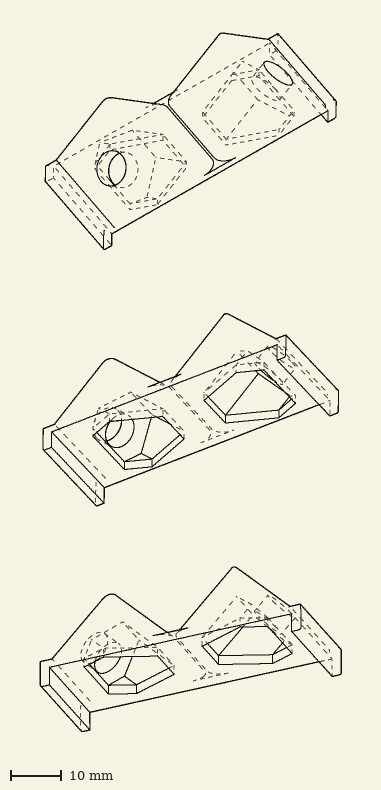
import cadquery as cq
import math

length = 56.3
width = 20.0
plate_thickness = 2.0
leg_height = 4.0
leg_thickness = 2.0
plate_top = leg_height + plate_thickness

ledge = 2.45
valley_half_width = 0.25
outer_foot = length / 2 - ledge
ridge_y = (outer_foot + valley_half_width) / 2
ridge_z = plate_top + outer_foot - ridge_y

corner_radius = 2.5
edge_radius = 0.5

hole_diameter = 7.0
hole_x = 1.25
hole_y = 20.2
hole_wall = 4.15
nut_across_flats = 14.0
nut_pocket_depth = 30.0

lean_angle = 1.0


def make_body():
    """Extrude the side outline, symmetric in X."""
    half = length / 2
    inner_half = half - leg_thickness
    outline = [
        (-half, 0),
        (-half, plate_top),
        (-outer_foot, plate_top),
        (-ridge_y, ridge_z),
        (-valley_half_width, plate_top),
        (valley_half_width, plate_top),
        (ridge_y, ridge_z),
        (outer_foot, plate_top),
        (half, plate_top),
        (half, 0),
        (inner_half, 0),
        (inner_half, leg_height),
        (-inner_half, leg_height),
        (-inner_half, 0),
    ]
    return cq.Workplane("YZ").polyline(outline).close().extrude(width / 2, both=True)


def near_point(x, y, z):
    """Selector for the edge whose center is nearest to the given point."""
    return cq.selectors.NearestToPointSelector((x, y, z))


def round_inner_slopes(body):
    """Round both sides of each inner slope."""
    slope_mid_y = (ridge_y + valley_half_width) / 2
    slope_mid_z = (ridge_z + plate_top) / 2
    for side_x in (-width / 2, width / 2):
        for end in (-1, 1):
            selector = near_point(side_x, end * slope_mid_y, slope_mid_z)
            body = body.edges(selector).fillet(corner_radius)
    return body


def round_rims(body):
    """Round the rim of each outer slope and ledge, and each lower leg edge."""
    ledge_mid_y = (length / 2 + outer_foot) / 2
    slope_mid_y = (outer_foot + ridge_y) / 2
    slope_mid_z = (ridge_z + plate_top) / 2
    for end in (-1, 1):
        rim = body.edges(near_point(0, end * length / 2, plate_top))
        rim = rim.add(body.edges(near_point(0, end * ridge_y, ridge_z)))
        for side_x in (-width / 2, width / 2):
            rim = rim.add(body.edges(near_point(side_x, end * ledge_mid_y, plate_top)))
            rim = rim.add(body.edges(near_point(side_x, end * slope_mid_y, slope_mid_z)))
        body = rim.fillet(edge_radius)
        body = body.edges(near_point(0, end * length / 2, 0)).fillet(edge_radius)
    return body


def make_hole(end):
    """Screw hole and nut pocket for the wedge on the given side of Y = 0."""
    hole_z = plate_top + outer_foot - hole_y
    center = (hole_x, end * hole_y, hole_z)
    plane = cq.Plane(origin=center, xDir=(1, 0, 0), normal=(0, -end, -1))
    hole = cq.Workplane(plane).circle(hole_diameter / 2).extrude(hole_wall)
    nut_diameter = nut_across_flats / math.cos(math.pi / 6)
    pocket = cq.Workplane(plane).workplane(offset=hole_wall)
    pocket = pocket.polygon(6, nut_diameter).extrude(nut_pocket_depth)
    plate_surface = cq.Workplane("XY", origin=(0, 0, plate_top))
    above_plate = plate_surface.rect(width, length).extrude(ridge_z - plate_top)
    pocket = pocket.intersect(above_plate)
    outline = pocket.faces("<Z").wires().vals()
    opening = plate_surface.add(outline).toPending().extrude(-plate_thickness)
    return hole.union(pocket).union(opening)


body = round_rims(round_inner_slopes(make_body()))
for end in (-1, 1):
    body = body.cut(make_hole(end))

result = body.rotate((0, 0, 0), (0, 1, 0), lean_angle)